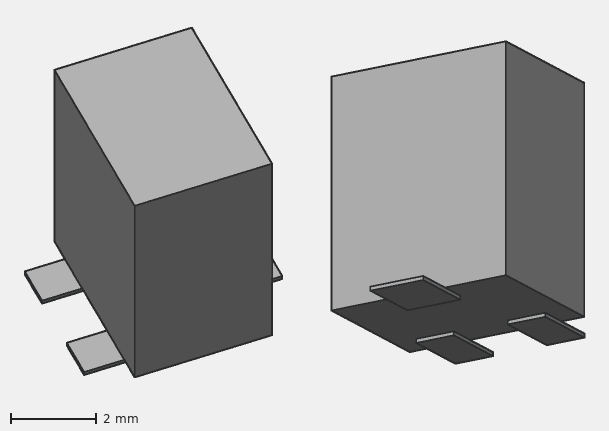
import cadquery as cq

HOUSING_X = 4.8
HOUSING_Y = 3.5
TOTAL_HEIGHT = 5.9

TERMINAL_THICKNESS = 0.1
OVERALL_Y = 5.49
FRONT_OVERHANG = 1.02
FRONT_WIDTH = 1.04
FRONT_LENGTH = 1.75
FRONT_PITCH = 2.52
REAR_WIDTH = 1.45
REAR_LENGTH = 1.65

FRONT_END_Y = -HOUSING_Y / 2 - FRONT_OVERHANG
REAR_END_Y = FRONT_END_Y + OVERALL_Y


def make_housing():
    """Plain block resting on top of the terminals."""
    height = TOTAL_HEIGHT - TERMINAL_THICKNESS
    block = cq.Workplane("XY").box(HOUSING_X, HOUSING_Y, height, centered=(True, True, False))
    return block.translate((0, 0, TERMINAL_THICKNESS))


def make_terminal(width, length, center_x, start_y):
    """Flat strip that runs toward +Y from start_y."""
    strip = cq.Workplane("XY").box(width, length, TERMINAL_THICKNESS, centered=(True, False, False))
    return strip.translate((center_x, start_y, 0))


housing = make_housing()
rear_terminal = make_terminal(REAR_WIDTH, REAR_LENGTH, 0, REAR_END_Y - REAR_LENGTH)

front_terminals = []
for side in (-1, 1):
    terminal = make_terminal(FRONT_WIDTH, FRONT_LENGTH, side * FRONT_PITCH / 2, FRONT_END_Y)
    front_terminals.append(terminal.val())

result = cq.Compound.makeCompound([housing.val(), rear_terminal.val(), *front_terminals])